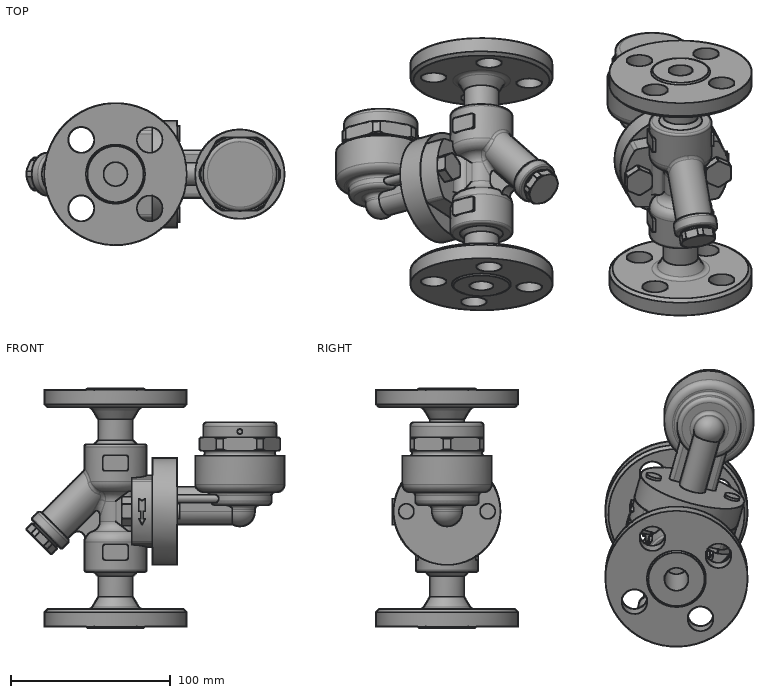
import cadquery as cq
import math

HALF_HEIGHT = 75.0
MID_Z = -2.0

END_FLANGE_DIA = 89.0
RAISED_FACE_DIA = 37.0
RAISED_FACE_TOP_DIA = 35.0
RAISED_FACE_HEIGHT = 1.0
END_FLANGE_THICKNESS = 12.0
END_FLANGE_CHAMFER = 2.0
BOLT_HOLE_DIA = 16.0
BOLT_CIRCLE_DIA = 60.5
BORE_DIA = 15.0
BORE_DEPTH = 35.0

PIPE_DIA = 21.7
HUB_ROOT_DIA = 36.0
HUB_CONE_DIA = 29.0
HUB_CONE_Z = 61.5
HUB_END_Z = 55.5
SHOULDER_CONE_DIA = 27.0
SHOULDER_CONE_HEIGHT = 2.6

BODY_DIA = 39.0
BODY_END_Z = 40.0
BODY_EDGE_RADIUS = 1.5
WAIST_DIA = 21.0
BELL_EDGE = 18.9
WAIST_EDGE = 6.3

PAD_WIDTH = 15.8
PAD_HEIGHT = 9.9
PAD_CORNER_RADIUS = 1.6
PAD_FACE_Y = 19.6
PAD_DEPTH = 4.0
PAD_CENTRES_Z = (28.2, -27.5)

BRANCH_ANGLE = 45.0
BRANCH_AXIS_Z = 27.0
BRANCH_DIA = 23.0
COLLAR_DIA = 27.0
COLLAR_START = 53.6
COLLAR_END = 61.2
COLLAR_BACK_RADIUS = 1.9
COLLAR_FRONT_RADIUS = 0.9
PLUG_NECK_DIA = 20.0
PLUG_HEX_START = 62.6
BRANCH_LENGTH = 68.1
PLUG_HEX_FLATS = 21.0
PLUG_HEX_CORNERS = 22.5
PLUG_HEX_CHAMFER = 0.5
BRANCH_FILLET = 3.0

WEB_THICKNESS = 8.0
WEB_ARC_RADIUS = 4.5
WEB_FOOT_X = -19.0

SIDE_FLANGE_DIA = 67.0
BODY_FLANGE_DIA = 66.4
BODY_FLANGE_X = 10.0
JOINT_X = 23.0
SIDE_FLANGE_END_X = 38.5
ROOF_RIDGE = 22.6
ROOF_SLOPE = 0.1
ROOF_CORNER_RADIUS = 3.0
WAIST_BLOCK_FILLET = 5.8

BOLT_OFFSET_Y = 25.4
BOLT_HEAD_FLATS = 16.0
BOLT_HEAD_CORNERS = 18.2
BOLT_HEAD_HEIGHT = 6.2
BOLT_HEAD_CHAMFER = 0.4
BOLT_END_DIA = 9.5
BOLT_END_LENGTH = 1.6

ARROW_X = 16.6
ARROW_TOP_Z = 6.0
ARROW_LENGTH = 16.4
ARROW_WIDTH = 4.0
ARROW_STEM_WIDTH = 1.4
ARROW_BODY_LENGTH = 8.0
ARROW_HEAD_LENGTH = 3.8
ARROW_NOTCH = 1.4
ARROW_FACE_Y = 34.3
ARROW_DEPTH = 2.5

ARM_UPPER_DIA = 15.0
ARM_UPPER_Z = 5.9
ARM_LOWER_DIA = 16.6
SLAB_WIDTH = 30.0
SLAB_THICKNESS = 5.2

HEAD_X = 77.75
HEAD_DIA = 56.0
HEAD_TOP_Z = 32.9
HEAD_BOTTOM_Z = 9.9
HEAD_BOTTOM_RADIUS = 5.0
SADDLE_DIA = 40.0
SADDLE_BOTTOM_Z = 1.7
SADDLE_RADIUS = 3.0
SADDLE_TOP_FILLET = 1.9
ELBOW_DIA = 19.0
ELBOW_FLARE = 2.5
CAP_NECK_DIA = 45.4
CAP_NECK_GROOVE = 0.7
CAP_HEX_Z = 35.8
CAP_HEX_FLATS = 46.0
CAP_HEX_CORNERS = 50.6
CAP_HEX_CHAMFER = 0.9
CAP_DIA = 46.1
CAP_HEX_TOP_Z = 44.3
CAP_TOP_Z = 53.8
CAP_EDGE_RADIUS = 2.6
VENT_DIA = 3.2
VENT_Z = 47.9
VENT_DEPTH = 3.0


def cylinder_x(x_start, x_end, diameter, y, z):
    """Cylinder along X between two X positions."""
    plane = cq.Workplane("YZ", origin=(x_start, y, z))
    return plane.circle(diameter / 2).extrude(x_end - x_start)


def turned_hex(flats, corner_dia, height, chamfer, chamfered_faces=">Z"):
    """Hexagon along +Z with two corners on X, its corners turned down and chamfered."""
    hexagon = cq.Workplane("XY").polygon(6, flats / math.cos(math.pi / 6)).extrude(height)
    blank = cq.Workplane("XY").circle(corner_dia / 2).extrude(height)
    return hexagon.intersect(blank.faces(chamfered_faces).chamfer(chamfer))


def make_end_flange():
    """Upper pipe end: flange with raised face, hub, pipe and shoulder cone."""
    face_z = HALF_HEIGHT - RAISED_FACE_HEIGHT
    back_z = HALF_HEIGHT - END_FLANGE_THICKNESS
    rim = END_FLANGE_DIA / 2
    flange = (
        cq.Workplane("XZ")
        .moveTo(0, BODY_END_Z)
        .lineTo(SHOULDER_CONE_DIA / 2, BODY_END_Z)
        .lineTo(PIPE_DIA / 2, BODY_END_Z + SHOULDER_CONE_HEIGHT)
        .lineTo(PIPE_DIA / 2, HUB_END_Z)
        .lineTo(HUB_CONE_DIA / 2, HUB_CONE_Z)
        .tangentArcPoint((HUB_ROOT_DIA / 2, back_z), relative=False)
        .lineTo(rim - END_FLANGE_CHAMFER, back_z)
        .lineTo(rim, back_z + END_FLANGE_CHAMFER)
        .lineTo(rim, face_z)
        .lineTo(RAISED_FACE_DIA / 2, face_z)
        .lineTo(RAISED_FACE_TOP_DIA / 2, HALF_HEIGHT)
        .lineTo(0, HALF_HEIGHT)
        .close()
        .revolve(360, (0, 0), (0, 1))
    )
    pitch = BOLT_CIRCLE_DIA / math.sqrt(2)
    holes = (
        cq.Workplane("XY", origin=(0, 0, back_z))
        .rect(pitch, pitch, forConstruction=True)
        .vertices()
        .circle(BOLT_HOLE_DIA / 2)
        .extrude(END_FLANGE_THICKNESS)
    )
    return flange.cut(holes)


def make_body():
    """Two bells joined by a waist, each blending into it with two equal tangent arcs."""
    bell = BODY_DIA / 2
    waist = WAIST_DIA / 2
    middle = ((bell + waist) / 2, (BELL_EDGE + WAIST_EDGE) / 2)
    top_z = BODY_END_Z
    bottom_z = -BODY_END_Z
    edge = BODY_EDGE_RADIUS
    return (
        cq.Workplane("XZ")
        .moveTo(0, bottom_z)
        .lineTo(bell - edge, bottom_z)
        .tangentArcPoint((bell, bottom_z + edge), relative=False)
        .lineTo(bell, MID_Z - BELL_EDGE)
        .tangentArcPoint((middle[0], MID_Z - middle[1]), relative=False)
        .tangentArcPoint((waist, MID_Z - WAIST_EDGE), relative=False)
        .lineTo(waist, MID_Z + WAIST_EDGE)
        .tangentArcPoint((middle[0], MID_Z + middle[1]), relative=False)
        .tangentArcPoint((bell, MID_Z + BELL_EDGE), relative=False)
        .lineTo(bell, top_z - edge)
        .tangentArcPoint((bell - edge, top_z), relative=False)
        .lineTo(0, top_z)
        .close()
        .revolve(360, (0, 0), (0, 1))
    )


def make_pads():
    """Rounded label pads, one above the other on both the -Y and +Y sides."""
    core_width = 2 * (PAD_FACE_Y - PAD_DEPTH)
    core = cq.Workplane("XY").box(PAD_WIDTH, core_width, PAD_HEIGHT)
    pads = cq.Workplane("XY")
    for z in PAD_CENTRES_Z:
        pad = (
            cq.Workplane("XZ")
            .rect(PAD_WIDTH, PAD_HEIGHT)
            .extrude(PAD_FACE_Y, both=True)
            .edges("|Y")
            .fillet(PAD_CORNER_RADIUS)
        )
        pads = pads.add(pad.cut(core).translate((0, 0, z)))
    return pads.combine()


def along_branch(shape):
    """Turn a shape modelled along +Z onto the branch axis."""
    turned = shape.rotate((0, 0, 0), (0, 1, 0), -90 - BRANCH_ANGLE)
    return turned.translate((0, 0, BRANCH_AXIS_Z))


def make_branch_pipe():
    return along_branch(cq.Workplane("XY").circle(BRANCH_DIA / 2).extrude(COLLAR_END))


def branch_joint_edges(shape):
    """Edges where the branch meets the upper bell and the waist."""
    joint_edges = []
    for edge in shape.edges().vals():
        centre = edge.Center()
        near_branch = -BRANCH_AXIS_Z < centre.x < -WAIST_DIA / 4 and abs(centre.z) < BRANCH_AXIS_Z
        if near_branch and edge.geomType() not in ("CIRCLE", "LINE"):
            joint_edges.append(edge)
    return joint_edges


def make_branch_web():
    """Flat web whose outer edge is an arc tangent to the branch underside and the bell shoulder."""
    radius = WEB_ARC_RADIUS
    slant = math.sqrt(0.5)
    underside_z = BRANCH_AXIS_Z - BRANCH_DIA / 2 / slant
    centre_x = WEB_FOOT_X - radius
    centre_z = centre_x + underside_z - radius / slant
    branch_point = (centre_x - radius * slant, centre_z + radius * slant)
    inner_x = -WAIST_DIA / 4
    return (
        cq.Workplane("XZ")
        .moveTo(*branch_point)
        .threePointArc((centre_x + radius * slant, centre_z + radius * slant), (WEB_FOOT_X, centre_z))
        .lineTo(inner_x, centre_z)
        .lineTo(inner_x, inner_x + underside_z)
        .close()
        .extrude(WEB_THICKNESS / 2, both=True)
    )


def make_branch_end():
    """Collar and hexagon plug at the end of the branch."""
    collar = (
        cq.Workplane("XY", origin=(0, 0, COLLAR_START))
        .circle(COLLAR_DIA / 2)
        .extrude(COLLAR_END - COLLAR_START)
        .faces("<Z")
        .edges()
        .fillet(COLLAR_BACK_RADIUS)
        .faces(">Z")
        .edges()
        .fillet(COLLAR_FRONT_RADIUS)
    )
    neck = cq.Workplane("XY", origin=(0, 0, COLLAR_START)).circle(PLUG_NECK_DIA / 2)
    neck = neck.extrude(PLUG_HEX_START - COLLAR_START)
    plug = turned_hex(PLUG_HEX_FLATS, PLUG_HEX_CORNERS, BRANCH_LENGTH - PLUG_HEX_START, PLUG_HEX_CHAMFER)
    plug = plug.translate((0, 0, PLUG_HEX_START))
    return along_branch(collar.union(neck).union(plug))


def make_body_flange():
    """Disc cut above and below by shallow gables with rounded corners."""
    disc = cylinder_x(BODY_FLANGE_X, JOINT_X, BODY_FLANGE_DIA, 0, MID_Z)
    half = BODY_FLANGE_DIA / 2
    eave = ROOF_RIDGE - ROOF_SLOPE * half
    outline = [(-half, -eave), (0, -ROOF_RIDGE), (half, -eave), (half, eave), (0, ROOF_RIDGE), (-half, eave)]
    roofs = cq.Workplane("YZ", origin=(BODY_FLANGE_X, 0, MID_Z)).polyline(outline).close()
    roofs = roofs.extrude(JOINT_X - BODY_FLANGE_X)
    flange = disc.intersect(roofs)
    corners = [edge for edge in flange.edges("|X").vals() if abs(edge.Center().y) > half / 2]
    return flange.newObject(corners).edges().fillet(ROOF_CORNER_RADIUS)


def make_waist_block():
    """Block from the waist to the body flange, flaring out to meet its face."""
    side = WAIST_DIA / 2
    flare = side + WAIST_BLOCK_FILLET
    start = BODY_FLANGE_X - WAIST_BLOCK_FILLET
    half_height = (BELL_EDGE + WAIST_EDGE) / 2
    return (
        cq.Workplane("XY", origin=(0, 0, MID_Z - half_height))
        .moveTo(0, -side)
        .lineTo(start, -side)
        .tangentArcPoint((BODY_FLANGE_X, -flare), relative=False)
        .lineTo(BODY_FLANGE_X, flare)
        .radiusArc((start, side), WAIST_BLOCK_FILLET)
        .lineTo(0, side)
        .close()
        .extrude(2 * half_height)
    )


def make_bolt(y):
    """Hexagon head in front of the body flange and bolt end behind the side flange."""
    head = turned_hex(BOLT_HEAD_FLATS, BOLT_HEAD_CORNERS, BOLT_HEAD_HEIGHT, BOLT_HEAD_CHAMFER)
    head = head.rotate((0, 0, 0), (0, 1, 0), -90).translate((BODY_FLANGE_X, y, MID_Z))
    end_x = SIDE_FLANGE_END_X + BOLT_END_LENGTH
    return head.union(cylinder_x(BODY_FLANGE_X, end_x, BOLT_END_DIA, y, MID_Z))


def make_arrow():
    """Raised arrow pointing down, on the -Y rim of the body flange."""
    half = ARROW_WIDTH / 2
    stem = ARROW_STEM_WIDTH / 2
    stem_z = -ARROW_BODY_LENGTH
    head_z = ARROW_HEAD_LENGTH - ARROW_LENGTH
    right_side = [(half, 0), (half, stem_z), (stem, stem_z), (stem, head_z), (half, head_z)]
    left_side = [(-x, z) for x, z in reversed(right_side)]
    outline = [(0, -ARROW_NOTCH)] + right_side + [(0, -ARROW_LENGTH)] + left_side
    plane = cq.Workplane("XZ", origin=(ARROW_X, ARROW_DEPTH - ARROW_FACE_Y, ARROW_TOP_Z))
    return plane.polyline(outline).close().extrude(ARROW_DEPTH)


def make_arms():
    """Upper and lower passages with a round-edged slab between them."""
    length = HEAD_X - SIDE_FLANGE_END_X
    middle_x = SIDE_FLANGE_END_X + length / 2
    upper = cylinder_x(SIDE_FLANGE_END_X, HEAD_X, ARM_UPPER_DIA, 0, ARM_UPPER_Z)
    lower = cylinder_x(SIDE_FLANGE_END_X, HEAD_X, ARM_LOWER_DIA, 0, MID_Z)
    web_height = ARM_UPPER_Z - MID_Z
    web = cq.Workplane("XY").box(length, ARM_LOWER_DIA, web_height)
    web = web.translate((middle_x, 0, MID_Z + web_height / 2))
    slab = (
        cq.Workplane("YZ", origin=(SIDE_FLANGE_END_X, 0, ARM_UPPER_Z))
        .slot2D(SLAB_WIDTH, SLAB_THICKNESS)
        .extrude(length)
    )
    return upper.union(lower).union(web).union(slab)


def make_head():
    """Turned trap head: elbow ball, saddle, drum and screwed cap, with a hexagon."""
    elbow = ELBOW_DIA / 2
    saddle = SADDLE_DIA / 2
    drum = HEAD_DIA / 2
    neck = CAP_NECK_DIA / 2
    cap = CAP_DIA / 2
    turned = (
        cq.Workplane("XZ")
        .moveTo(0, MID_Z - elbow)
        .threePointArc(
            (elbow * math.sin(math.pi / 4), MID_Z - elbow * math.cos(math.pi / 4)), (elbow, MID_Z)
        )
        .lineTo(elbow, SADDLE_BOTTOM_Z - ELBOW_FLARE)
        .tangentArcPoint((elbow + ELBOW_FLARE, SADDLE_BOTTOM_Z), relative=False)
        .lineTo(saddle - SADDLE_RADIUS, SADDLE_BOTTOM_Z)
        .tangentArcPoint((saddle, SADDLE_BOTTOM_Z + SADDLE_RADIUS), relative=False)
        .lineTo(saddle, HEAD_BOTTOM_Z - SADDLE_TOP_FILLET)
        .tangentArcPoint((saddle + SADDLE_TOP_FILLET, HEAD_BOTTOM_Z), relative=False)
        .lineTo(drum - HEAD_BOTTOM_RADIUS, HEAD_BOTTOM_Z)
        .tangentArcPoint((drum, HEAD_BOTTOM_Z + HEAD_BOTTOM_RADIUS), relative=False)
        .lineTo(drum, HEAD_TOP_Z)
        .lineTo(neck, HEAD_TOP_Z)
        .threePointArc((neck - CAP_NECK_GROOVE, (HEAD_TOP_Z + CAP_HEX_Z) / 2), (neck, CAP_HEX_Z))
        .lineTo(neck, CAP_HEX_TOP_Z)
        .lineTo(cap, CAP_HEX_TOP_Z)
        .lineTo(cap, CAP_TOP_Z - CAP_EDGE_RADIUS)
        .tangentArcPoint((cap - CAP_EDGE_RADIUS, CAP_TOP_Z), relative=False)
        .lineTo(0, CAP_TOP_Z)
        .close()
        .revolve(360, (0, 0), (0, 1))
    )
    hex_height = CAP_HEX_TOP_Z - CAP_HEX_Z
    hexagon = turned_hex(CAP_HEX_FLATS, CAP_HEX_CORNERS, hex_height, CAP_HEX_CHAMFER, "<Z or >Z")
    vent = cq.Workplane("XZ", origin=(0, VENT_DEPTH - cap, VENT_Z)).circle(VENT_DIA / 2)
    vent = vent.extrude(2 * VENT_DEPTH)
    head = turned.union(hexagon.translate((0, 0, CAP_HEX_Z))).cut(vent)
    return head.translate((HEAD_X, 0, 0))


def make_bore():
    """Blind pipe bore, entered from the top."""
    return cq.Workplane("XY", origin=(0, 0, HALF_HEIGHT)).circle(BORE_DIA / 2).extrude(-BORE_DEPTH)


end_flange = make_end_flange()
bore = make_bore()
result = make_body().union(make_waist_block()).union(make_branch_pipe())
result = result.newObject(branch_joint_edges(result)).fillet(BRANCH_FILLET)
result = result.union(make_branch_web())
result = result.union(make_branch_end())
result = result.union(make_pads())
result = result.union(end_flange).union(end_flange.mirror("XY"))
result = result.union(make_body_flange())
result = result.union(cylinder_x(JOINT_X, SIDE_FLANGE_END_X, SIDE_FLANGE_DIA, 0, MID_Z))
for bolt_y in (-BOLT_OFFSET_Y, BOLT_OFFSET_Y):
    result = result.union(make_bolt(bolt_y))
result = result.union(make_arrow())
result = result.union(make_arms()).union(make_head())
result = result.cut(bore).cut(bore.mirror("XY"))